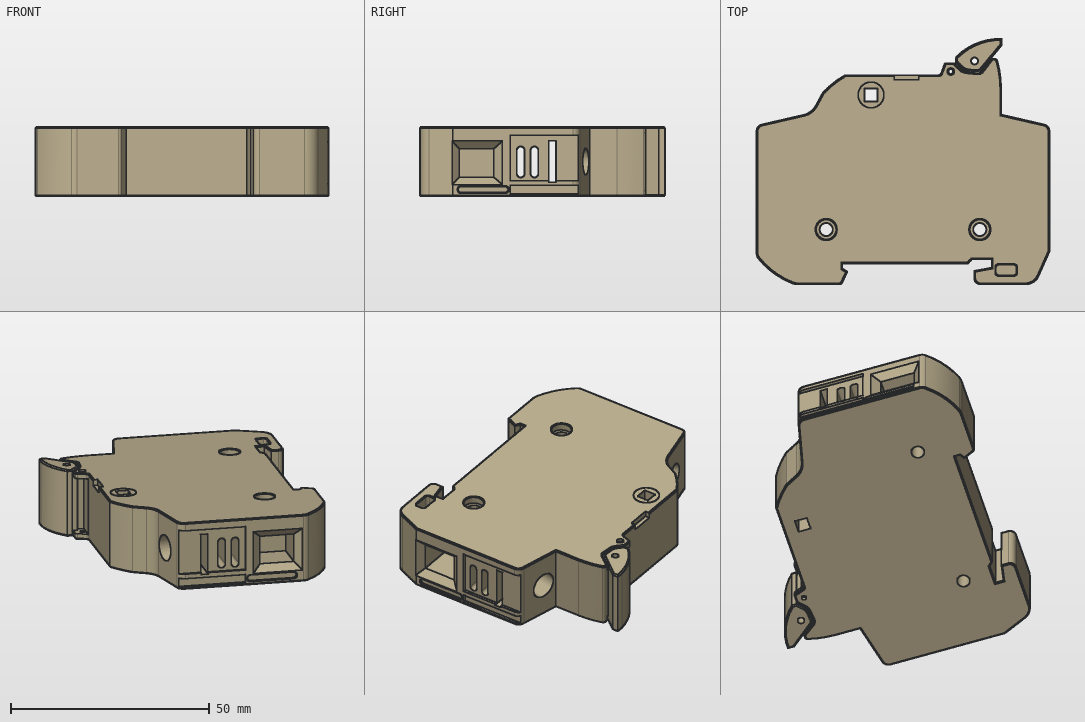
import cadquery as cq
import math

LENGTH = 73.9
HEIGHT = 61.85
WIDTH = 17.5
MID_Z = WIDTH / 2
EDGE_CHAMFER = 0.3
MOUTH_CHAMFER = 0.2
CUT_MARGIN = 0.75

SHOULDER_Y = 40.0
SHOULDER_RUN = 12.2
SHOULDER_TOP_Y = 42.8
SHOULDER_ROUND = 1.85
SHOULDER_ANGLE = math.degrees(math.atan2(SHOULDER_TOP_Y - SHOULDER_Y, SHOULDER_RUN))
FLANK_FOOT_X = 14.0
FLANK_ROUND = 4.7
TOP_Y = 52.75

RAIL_Y = 5.25
RAIL_LEFT_X = 21.65
RAIL_UNDERCUT_Y = 6.3

EAR_X = 47.5
EAR_Y = 55.8
EAR_THICKNESS = 1.5
EAR_GAP_X = (46.0, 51.3)
EAR_HOLE = (49.0, 53.6)
EAR_HOLE_DIAMETER = 1.2
EAR_HOLE_MOUTH = 1.8

SEAT_START = (49.8, EAR_Y)
SEAT_BELLY_CORNERS = ((52.0, 53.55), (56.45, 53.1))
BELLY_ROUNDS = (2.95, 1.5)
SEAT_END = (59.3, 56.9)

LEVER_TOP_START = (50.3, 57.25)
LEVER_HEEL = (50.25, 56.0)
LEVER_BELLY_CORNERS = ((52.45, 53.85), (56.3, 53.6))
LEVER_TIP_LOW_Y = 60.2
LEVER_TIP_X = 61.8
LEVER_CHAMFER = 0.4
HINGE_NOSE = (50.2, 54.7)
HINGE_FOOT = (51.7, 54.7)
LEVER_HOLE = (55.0, 56.3)
LEVER_HOLE_DIAMETER = 1.7

RIVET_SPACING = 38.7
RIVET_Y = 13.8
RIVET_DIAMETER = 3.25
RIVET_BORE_DIAMETER = 5.0
RIVET_BORE_DEPTH = 2.0

INLAY_CENTER = (28.9, 47.7)
INLAY_DIAMETER = 6.5
INLAY_DEPTH = 0.1
INLAY_SQUARE = 3.2

NOTCH_X = (34.8, 40.9)
NOTCH_DEPTH_Y = 1.2
NOTCH_DEPTH_Z = 1.5

RELEASE_CENTER = (62.95, 3.6)
RELEASE_SIZE = (5.2, 2.65)
RELEASE_DEPTH = 7.4
RELEASE_ROUND = 0.75

PANEL_DEPTH = 0.75
PANEL_LOW_Y = 22.8
PANEL_Z = (4.0, 15.45)
LABEL_Z = (0.7, 2.8)
WINDOW_Y = (32.5, 34.3)
WINDOW_Z = (3.6, 14.0)
VENTS_Y = (25.4, 28.9)
VENT_WIDTH = 1.9
VENT_Z = (4.8, 12.55)
TAG_Y = (9.45, 22.45)
TAG_Z = (0.8, 2.65)
TAG_DEPTH = 0.45
TAG_TAPER = 25.0
FUNNEL_Y = (8.1, 20.8)
FUNNEL_Z = (2.95, 14.0)
FUNNEL_DEPTH = 1.85
WIRE_Y = (9.9, 18.7)
WIRE_Z = (4.8, 12.05)
WIRE_DEPTH = 11.1
SCREW_X = 8.05
SCREW_DIAMETER = 6.65
SCREW_DEPTH = 5.9


def box_between(x_range, y_range, z_range):
    """Box filling the three given (low, high) ranges."""
    sizes = [high - low for low, high in (x_range, y_range, z_range)]
    corner = (x_range[0], y_range[0], z_range[0])
    return cq.Workplane("XY").box(*sizes, centered=False).translate(corner)


def round_corner(body, point, radius):
    """Fillet the upright edge nearest to an outline corner."""
    edge = cq.selectors.NearestToPointSelector((point[0], point[1], MID_Z))
    return body.edges("|Z").edges(edge).fillet(radius)


def shoulder_height(x):
    return SHOULDER_Y + x * math.tan(math.radians(SHOULDER_ANGLE))


def upright_hole(center, diameter):
    return cq.Workplane("XY").center(*center).circle(diameter / 2).extrude(WIDTH)


def front_face(center):
    return cq.Workplane("XY", origin=(*center, WIDTH))


def end_profile(y_range, z_range):
    """Rectangle lying in the plane of the left end face."""
    return (
        cq.Workplane("YZ")
        .center(sum(y_range) / 2, sum(z_range) / 2)
        .rect(y_range[1] - y_range[0], z_range[1] - z_range[0])
    )


def cut_both_ends(body, cutter):
    """Cut the same feature into the left end and, mirrored, into the right end."""
    return body.cut(cutter).cut(cutter.mirror("YZ", (LENGTH / 2, 0, 0)))


def make_housing():
    ear_foot = (46.4, TOP_Y)
    ear_tip = (EAR_X, EAR_Y)
    flank_foot = (FLANK_FOOT_X, shoulder_height(FLANK_FOOT_X))
    wall_x = LENGTH - SHOULDER_RUN
    seat_shoulder = (60.6, 56.8)
    foot_tip = (54.9, 0)
    hook_tip = (21.4, 0)
    curve_foot = (9.75, 0)
    curve_top = (0, 7.2)
    outline = (
        cq.Workplane("XY")
        .moveTo(*curve_top)
        .lineTo(0, SHOULDER_Y)
        .lineTo(*flank_foot)
        .lineTo(16.8, 48.3)
        .threePointArc((19.4, 50.75), (22.4, TOP_Y))
        .lineTo(*ear_foot)
        .lineTo(*ear_tip)
        .lineTo(*SEAT_START)
        .lineTo(*SEAT_BELLY_CORNERS[0])
        .lineTo(*SEAT_BELLY_CORNERS[1])
        .lineTo(*SEAT_END)
        .lineTo(*seat_shoulder)
        .threePointArc((61.4, 53.2), (wall_x, 49.6))
        .lineTo(wall_x, SHOULDER_TOP_Y)
        .lineTo(LENGTH, SHOULDER_Y)
        .lineTo(LENGTH, 8.35)
        .lineTo(71.15, 2.2)
        .threePointArc((69.9, 0.7), (67.75, 0))
        .lineTo(*foot_tip)
        .lineTo(foot_tip[0], 3.4)
        .lineTo(59.25, 4.2)
        .lineTo(59.25, RAIL_UNDERCUT_Y)
        .lineTo(54.3, RAIL_UNDERCUT_Y)
        .lineTo(53.3, RAIL_Y)
        .lineTo(RAIL_LEFT_X, RAIL_Y)
        .lineTo(RAIL_LEFT_X, 4.0)
        .lineTo(22.9, 3.2)
        .lineTo(*hook_tip)
        .lineTo(*curve_foot)
        .threePointArc((4.2, 2.95), curve_top)
        .close()
    )
    body = outline.extrude(WIDTH)
    for x in (0, LENGTH):
        body = round_corner(body, (x, SHOULDER_Y), SHOULDER_ROUND)
    body = round_corner(body, flank_foot, FLANK_ROUND)
    body = round_corner(body, ear_foot, 0.6)
    body = round_corner(body, ear_tip, 0.6)
    for corner, radius in zip(SEAT_BELLY_CORNERS, BELLY_ROUNDS):
        body = round_corner(body, corner, radius)
    body = round_corner(body, seat_shoulder, 0.75)
    body = round_corner(body, foot_tip, 1.55)
    body = round_corner(body, hook_tip, 0.9)
    body = round_corner(body, curve_foot, 3.85)
    body = round_corner(body, curve_top, 2.2)
    return body.faces("<Z or >Z").edges().chamfer(EDGE_CHAMFER)


def ear_gap():
    """Space between the two hinge ears."""
    return box_between(
        EAR_GAP_X,
        (TOP_Y, EAR_Y + CUT_MARGIN),
        (EAR_THICKNESS, WIDTH - EAR_THICKNESS),
    )


def make_lever():
    body = (
        cq.Workplane("XY")
        .moveTo(*LEVER_HEEL)
        .lineTo(*LEVER_BELLY_CORNERS[0])
        .lineTo(*LEVER_BELLY_CORNERS[1])
        .lineTo(LEVER_TIP_X, LEVER_TIP_LOW_Y)
        .lineTo(LEVER_TIP_X, HEIGHT)
        .lineTo(60.1, HEIGHT)
        .threePointArc((54.8, 60.4), LEVER_TOP_START)
        .close()
        .extrude(WIDTH)
    )
    for corner, radius in zip(LEVER_BELLY_CORNERS, BELLY_ROUNDS):
        body = round_corner(body, corner, radius)
    return body.faces("<Z or >Z").edges().chamfer(LEVER_CHAMFER)


def hinge_core():
    """Block between the ears that carries the lever on the housing."""
    return (
        cq.Workplane("XY", origin=(0, 0, EAR_THICKNESS))
        .polyline([LEVER_TOP_START, HINGE_NOSE, HINGE_FOOT, *SEAT_BELLY_CORNERS, SEAT_END])
        .close()
        .extrude(WIDTH - 2 * EAR_THICKNESS)
    )


def chamfer_mouth(profile):
    """Taper that widens a hole towards the front face, given its outline on that face."""
    return profile.extrude(-MOUTH_CHAMFER, taper=45)


def rivet_holes():
    holes = cq.Workplane("XY")
    for side in (-1, 1):
        center = (LENGTH / 2 + side * RIVET_SPACING / 2, RIVET_Y)
        bore = upright_hole(center, RIVET_BORE_DIAMETER).translate((0, 0, WIDTH - RIVET_BORE_DEPTH))
        mouth = front_face(center).circle(RIVET_BORE_DIAMETER / 2 + MOUTH_CHAMFER)
        holes = holes.add(upright_hole(center, RIVET_DIAMETER).union(bore).union(chamfer_mouth(mouth)))
    return holes.combine()


def inlay():
    recess = upright_hole(INLAY_CENTER, INLAY_DIAMETER).translate((0, 0, WIDTH - INLAY_DEPTH))
    square = cq.Workplane("XY").center(*INLAY_CENTER).rect(INLAY_SQUARE, INLAY_SQUARE).extrude(WIDTH)
    return recess.union(square)


def upper_notch():
    return box_between(NOTCH_X, (TOP_Y - NOTCH_DEPTH_Y, TOP_Y + CUT_MARGIN), (WIDTH - NOTCH_DEPTH_Z, WIDTH))


def release_pocket():
    pocket = (
        front_face(RELEASE_CENTER).rect(*RELEASE_SIZE).extrude(-RELEASE_DEPTH).edges("|Z").fillet(RELEASE_ROUND)
    )
    mouth_outline = pocket.faces(">Z").wires().toPending().offset2D(MOUTH_CHAMFER)
    return pocket.union(chamfer_mouth(mouth_outline))


def ear_hole():
    mouth_depth = EAR_THICKNESS / 2
    hole = upright_hole(EAR_HOLE, EAR_HOLE_DIAMETER)
    return hole.union(upright_hole(EAR_HOLE, EAR_HOLE_MOUTH).translate((0, 0, WIDTH - mouth_depth)))


def end_panels():
    """Shallow recesses for the terminal panel and the label strip below it."""
    panel_y = (PANEL_LOW_Y, SHOULDER_TOP_Y)
    cutter = end_profile(panel_y, PANEL_Z).extrude(PANEL_DEPTH)
    return cutter.union(end_profile(panel_y, LABEL_Z).extrude(PANEL_DEPTH))


def tag_recess():
    """Round-ended recess with sloping sides."""
    return (
        cq.Workplane("YZ")
        .center(sum(TAG_Y) / 2, sum(TAG_Z) / 2)
        .slot2D(TAG_Y[1] - TAG_Y[0], TAG_Z[1] - TAG_Z[0])
        .extrude(TAG_DEPTH, taper=TAG_TAPER)
    )


def wire_funnel():
    """Funnel narrowing from the end face to the wire pocket."""
    return (
        end_profile(FUNNEL_Y, FUNNEL_Z)
        .workplane(offset=FUNNEL_DEPTH)
        .center(sum(WIRE_Y) / 2 - sum(FUNNEL_Y) / 2, sum(WIRE_Z) / 2 - sum(FUNNEL_Z) / 2)
        .rect(WIRE_Y[1] - WIRE_Y[0], WIRE_Z[1] - WIRE_Z[0])
        .loft(ruled=True)
    )


def wire_pocket():
    return end_profile(WIRE_Y, WIRE_Z).extrude(WIRE_DEPTH)


def screw_hole():
    """Screw access, square to the sloping shoulder."""
    return (
        cq.Workplane("XZ")
        .circle(SCREW_DIAMETER / 2)
        .extrude(SCREW_DEPTH + CUT_MARGIN)
        .translate((0, CUT_MARGIN, 0))
        .rotate((0, 0, 0), (0, 0, 1), SHOULDER_ANGLE)
        .translate((SCREW_X, shoulder_height(SCREW_X), MID_Z))
    )


def through_slots():
    """Window and vents running the full length of the housing."""
    cutter = end_profile(WINDOW_Y, WINDOW_Z).extrude(LENGTH)
    for vent_y in VENTS_Y:
        vent = (
            cq.Workplane("YZ")
            .center(vent_y, sum(VENT_Z) / 2)
            .slot2D(VENT_Z[1] - VENT_Z[0], VENT_WIDTH, 90)
            .extrude(LENGTH)
        )
        cutter = cutter.union(vent)
    return cutter


body = make_housing().cut(ear_gap()).union(hinge_core()).union(make_lever())
for feature in (rivet_holes, inlay, upper_notch, release_pocket, ear_hole, through_slots):
    body = body.cut(feature())
for feature in (end_panels, wire_funnel, wire_pocket, tag_recess, screw_hole):
    body = cut_both_ends(body, feature())
result = body.cut(upright_hole(LEVER_HOLE, LEVER_HOLE_DIAMETER))